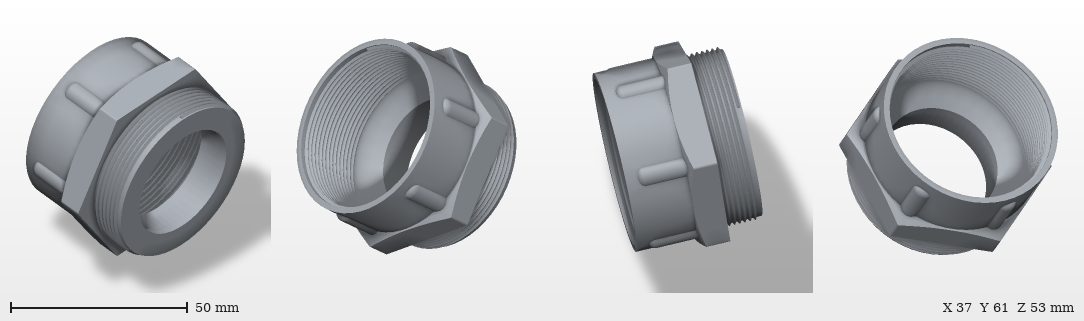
import cadquery as cq
import math

total_length = 37.0
sleeve_length = 17.3
nut_end_x = 26.1

sleeve_diameter = 51.95
rib_count = 6
rib_radius = 3.2
rib_tip_radius = 27.3
rib_start_x = 3.5
rib_end_rounding = 2.0

across_flats = 53.0
corner_rounding = 0.75
nut_chamfer_angle = 25.0
hexagon_sides = 6

joint_overlap = 1.0

pitch = 1.5
ridge_base = 1.0
ridge_root_overlap = 0.1
spigot_diameter = 48.52
outer_crest_diameter = 50.1
outer_turns = 6.2
outer_thread_end_x = 36.1
inner_crest_diameter = 47.1
inner_turns = 14.4
inner_thread_start_x = 0.85

socket_diameter = 48.52
socket_depth = 22.5
throat_diameter = 34.0
throat_start_x = 26.8


def body_of_revolution(points):
    """Solid of revolution about the X axis from (x, radius) points."""
    return cq.Workplane("XY").polyline(points).close().revolve(360, (0, 0, 0), (1, 0, 0))


def sleeve_and_spigot():
    """Solid sleeve followed by the thinner spigot that carries the outer thread."""
    step_x = sleeve_length + joint_overlap
    return body_of_revolution(
        [
            (0, 0),
            (0, sleeve_diameter / 2),
            (step_x, sleeve_diameter / 2),
            (step_x, spigot_diameter / 2),
            (total_length, spigot_diameter / 2),
            (total_length, 0),
        ]
    )


def hexagonal_nut():
    """Hexagon with corners on the Y axis and a conical chamfer on its -X side."""
    across_corners = across_flats / math.cos(math.pi / hexagon_sides)
    nut_length = nut_end_x - sleeve_length
    hexagon = (
        cq.Workplane("YZ", origin=(sleeve_length, 0, 0))
        .polygon(hexagon_sides, across_corners)
        .extrude(nut_length)
        .edges("|X")
        .fillet(corner_rounding)
    )
    flat_radius = across_flats / 2
    chamfer_slope = math.tan(math.radians(nut_chamfer_angle))
    envelope_radius = flat_radius + nut_length / chamfer_slope
    envelope = body_of_revolution(
        [(sleeve_length, 0), (sleeve_length, flat_radius), (nut_end_x, envelope_radius), (nut_end_x, 0)]
    )
    return hexagon.intersect(envelope)


def grip_rib():
    """Round bar along the sleeve, on its +Y side, with a rounded free end."""
    return (
        cq.Workplane("YZ", origin=(rib_start_x, rib_tip_radius - rib_radius, 0))
        .circle(rib_radius)
        .extrude(sleeve_length + joint_overlap - rib_start_x)
        .faces("<X")
        .edges()
        .fillet(rib_end_rounding)
    )


def stepped_bore():
    """Socket, conical shoulder and throat as one solid to cut away."""
    return body_of_revolution(
        [
            (0, 0),
            (0, socket_diameter / 2),
            (socket_depth, socket_diameter / 2),
            (throat_start_x, throat_diameter / 2),
            (total_length, throat_diameter / 2),
            (total_length, 0),
        ]
    )


def thread_ridge(root_diameter, crest_diameter, turns, start_x, start_angle):
    """Right-handed triangular ridge about the X axis; the start angle runs from +Z towards -Y."""
    root_radius = root_diameter / 2
    crest_radius = crest_diameter / 2
    overlap = math.copysign(ridge_root_overlap, root_radius - crest_radius)
    slope = ridge_base / 2 / abs(crest_radius - root_radius)
    foot_half_width = ridge_base / 2 + slope * ridge_root_overlap
    foot_radius = root_radius + overlap
    helix = cq.Wire.makeHelix(pitch, pitch * turns, root_radius)
    ridge = (
        cq.Workplane("XZ")
        .polyline([(foot_radius, -foot_half_width), (crest_radius, 0), (foot_radius, foot_half_width)])
        .close()
        .sweep(helix, isFrenet=True)
    )
    return (
        ridge.rotate((0, 0, 0), (0, 1, 0), 90)
        .rotate((0, 0, 0), (1, 0, 0), 180 + start_angle)
        .translate((start_x, 0, 0))
    )


adapter = sleeve_and_spigot().union(hexagonal_nut())
for index in range(rib_count):
    adapter = adapter.union(grip_rib().rotate((0, 0, 0), (1, 0, 0), index * 360 / rib_count))
adapter = adapter.cut(stepped_bore())

outer_start_x = outer_thread_end_x - pitch * outer_turns
outer_ridge = thread_ridge(
    spigot_diameter, outer_crest_diameter, outer_turns, outer_start_x, -360 * outer_turns
)
inner_ridge = thread_ridge(
    socket_diameter, inner_crest_diameter, inner_turns, inner_thread_start_x, 0
)
result = adapter.union(outer_ridge).union(inner_ridge)